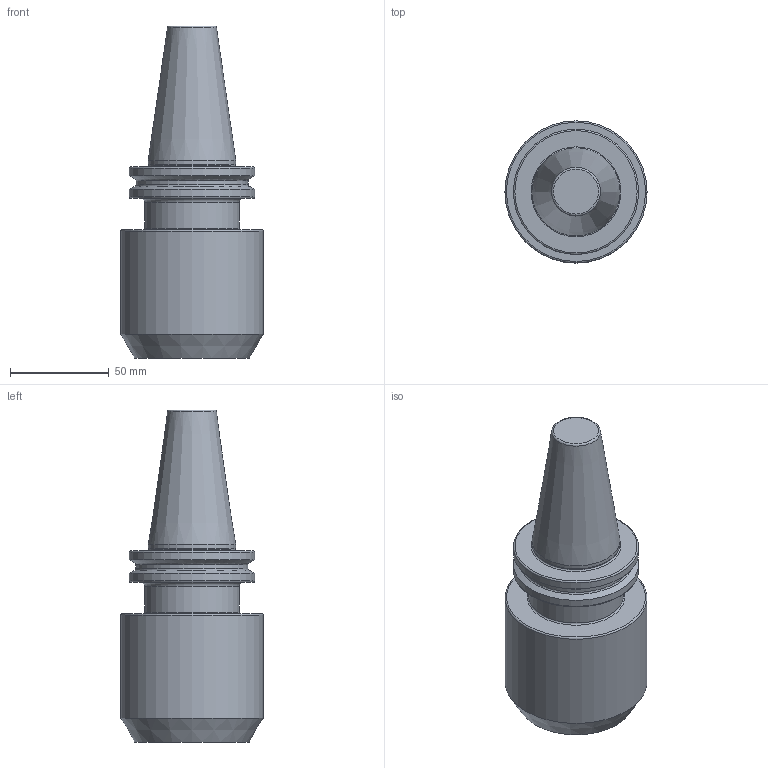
import cadquery as cq
import math


gauge_radius = 44.45 / 2
taper_length = 68.25
taper_slope = 7 / 48
taper_tip_radius = gauge_radius - taper_length * taper_slope
tip_fillet = 1.0

collar_bottom = -2.0
relief_depth = 0.2
relief_fillet = 0.75

flange_top = -3.2
flange_radius = 63.5 / 2
flange_bottom = -19.1
flange_edge_radius = 0.75
groove_center = -11.1
groove_width = 7.0
groove_floor_radius = 56.8 / 2
groove_floor_fillet = 1.0
groove_flank_angle = math.radians(30)

neck_radius = 48 / 2
neck_fillet = 2.0
neck_foot_fillet = 0.75

body_radius = 72 / 2
body_top = -35.0
body_top_fillet = 0.75
nose_bottom = -100.0
nose_length = 12.0
nose_angle = math.radians(30)
nose_radius = body_radius - nose_length * math.tan(nose_angle)


def revolve_profile(profile):
    """Turn a closed radius-height outline fully about the Z axis."""
    return profile.close().revolve(360, (0, 0, 0), (0, 1, 0))


def make_shank():
    """Taper with a rounded tip, its straight collar and the filleted relief below."""
    relief_radius = gauge_radius - relief_depth
    shank = revolve_profile(
        cq.Workplane("XZ")
        .moveTo(0, flange_top)
        .lineTo(relief_radius + relief_fillet, flange_top)
        .radiusArc((relief_radius, flange_top + relief_fillet), relief_fillet)
        .lineTo(relief_radius, collar_bottom)
        .lineTo(gauge_radius, collar_bottom)
        .lineTo(gauge_radius, 0)
        .lineTo(taper_tip_radius, taper_length)
        .lineTo(0, taper_length)
    )
    return shank.faces(">Z").edges().fillet(tip_fillet)


def make_flange():
    """Disc with rounded rims."""
    return (
        cq.Workplane("XY", origin=(0, 0, flange_bottom))
        .circle(flange_radius)
        .extrude(flange_top - flange_bottom)
        .edges()
        .fillet(flange_edge_radius)
    )


def make_groove():
    """Ring-shaped cutter for the V-groove, rounded at its floor corners."""
    half_mouth = groove_width / 2
    flank_slope = math.tan(groove_flank_angle)
    half_floor = half_mouth - (flange_radius - groove_floor_radius) * flank_slope
    outer_radius = flange_radius + flange_edge_radius
    half_outer = half_mouth + (outer_radius - flange_radius) * flank_slope
    ring = revolve_profile(
        cq.Workplane("XZ")
        .moveTo(groove_floor_radius, groove_center - half_floor)
        .lineTo(outer_radius, groove_center - half_outer)
        .lineTo(outer_radius, groove_center + half_outer)
        .lineTo(groove_floor_radius, groove_center + half_floor)
    )
    floor_edges = cq.selectors.RadiusNthSelector(0)
    return ring.edges(floor_edges).fillet(groove_floor_fillet)


def make_neck():
    """Neck with a concave fillet at the flange and a smaller one at the body."""
    return revolve_profile(
        cq.Workplane("XZ")
        .moveTo(0, body_top)
        .lineTo(neck_radius + neck_foot_fillet, body_top)
        .radiusArc((neck_radius, body_top + neck_foot_fillet), neck_foot_fillet)
        .lineTo(neck_radius, flange_bottom - neck_fillet)
        .radiusArc((neck_radius + neck_fillet, flange_bottom), neck_fillet)
        .lineTo(0, flange_bottom)
    )


def make_body():
    """Cylinder with a rounded top rim and a conical nose."""
    return revolve_profile(
        cq.Workplane("XZ")
        .moveTo(0, nose_bottom)
        .lineTo(nose_radius, nose_bottom)
        .lineTo(body_radius, nose_bottom + nose_length)
        .lineTo(body_radius, body_top - body_top_fillet)
        .radiusArc((body_radius - body_top_fillet, body_top), -body_top_fillet)
        .lineTo(0, body_top)
    )


flange = make_flange().cut(make_groove())
result = make_body().union(make_neck()).union(flange).union(make_shank())